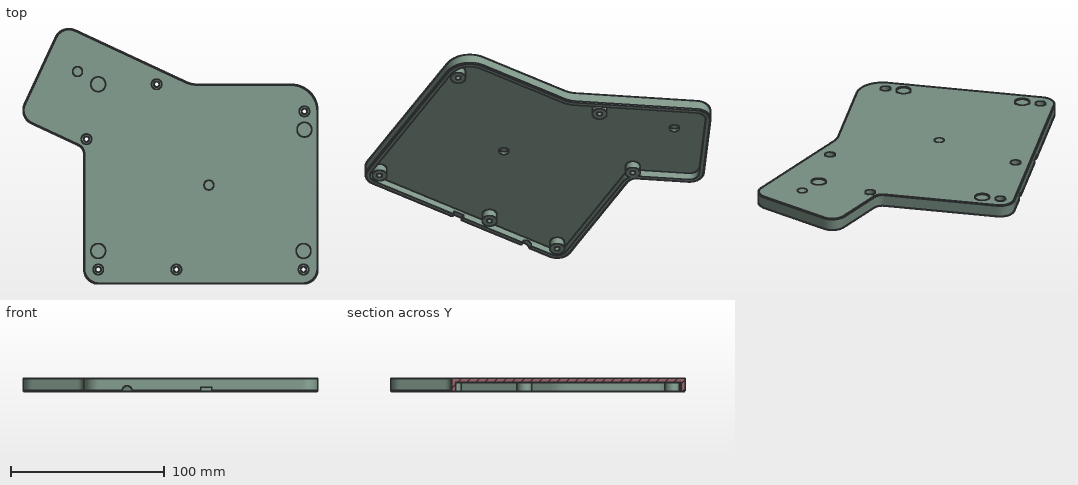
import cadquery as cq
import math

BODY_LENGTH = 152.5
BODY_WIDTH = 130.0
THICKNESS = 8.8
WING_ANGLE = math.radians(25)
WING_ROOT_X = 70.1
WING_LENGTH = 93.2
WING_WIDTH = 67.2

CORNER_RADIUS = 9.6
BACK_CORNER_RADIUS = 17.5
BACK_BEND_RADIUS = 17.5
FRONT_BEND_RADIUS = 6.3
TOP_CHAMFER = 0.5
BOTTOM_CHAMFER = 0.8

WALL = 3.0
ROOF = 3.0
CAVITY_DEPTH = THICKNESS - ROOF

EDGE_INSET = 9.5
BACK_RIGHT_X = BODY_LENGTH - 8.8

SCREW_DIAMETER = 3.5
COUNTERBORE_DIAMETER = 6.7
COUNTERBORE_DEPTH = 3.5
BOSS_DIAMETER = 9.6
SCREW_CENTERS = [
    (EDGE_INSET, EDGE_INSET),
    (60.3, EDGE_INSET),
    (BODY_LENGTH - EDGE_INSET, EDGE_INSET),
    (BACK_RIGHT_X, 112.4),
    (47.5, BODY_WIDTH),
    (1.7, 94.3),
]

FOOT_DIAMETER = 9.6
FOOT_DEPTH = 0.8
FRONT_FOOT_Y = 21.5
FOOT_CENTERS = [
    (EDGE_INSET, FRONT_FOOT_Y),
    (BODY_LENGTH - EDGE_INSET, FRONT_FOOT_Y),
    (BACK_RIGHT_X, 100.5),
    (EDGE_INSET, BODY_WIDTH),
]

POCKET_DIAMETER = 6.3
POCKET_SKIN = 0.5
POCKET_CENTERS = [(-4.0, 138.3), (81.5, 64.4)]

CABLE_X = 28.2
CABLE_DIAMETER = 6.3
CABLE_CENTER_Z = 0.5
SLOT_X = 79.7
SLOT_WIDTH = 7.1
SLOT_HEIGHT = 2.9


def outline_corners():
    """Sharp outline corners, counterclockwise, each with its rounding radius."""
    cosine = math.cos(WING_ANGLE)
    sine = math.sin(WING_ANGLE)
    back_tip_x = WING_ROOT_X - WING_LENGTH * cosine
    back_tip_y = BODY_WIDTH + WING_LENGTH * sine
    front_tip_x = back_tip_x - WING_WIDTH * sine
    front_tip_y = back_tip_y - WING_WIDTH * cosine
    front_bend_y = front_tip_y + front_tip_x * math.tan(WING_ANGLE)
    return [
        ((0, 0), CORNER_RADIUS),
        ((BODY_LENGTH, 0), CORNER_RADIUS),
        ((BODY_LENGTH, BODY_WIDTH), BACK_CORNER_RADIUS),
        ((WING_ROOT_X, BODY_WIDTH), BACK_BEND_RADIUS),
        ((back_tip_x, back_tip_y), CORNER_RADIUS),
        ((front_tip_x, front_tip_y), CORNER_RADIUS),
        ((0, front_bend_y), FRONT_BEND_RADIUS),
    ]


def rounded_plate():
    """Solid plate with every outline corner rounded."""
    corners = outline_corners()
    outline = cq.Workplane("XY").polyline([point for point, _ in corners]).close()
    plate = outline.extrude(THICKNESS)
    for (x, y), radius in corners:
        corner_edge = cq.selectors.NearestToPointSelector((x, y, THICKNESS / 2))
        plate = plate.edges("|Z").edges(corner_edge).fillet(radius)
    return plate


def cylinders(centers, diameter, bottom, top):
    """Upright cylinders of one diameter between two heights."""
    base = cq.Workplane("XY").workplane(offset=bottom)
    return base.pushPoints(centers).circle(diameter / 2).extrude(top - bottom)


def hollow(plate):
    """Space inside the walls and below the roof, less the screw bosses."""
    inner_outline = plate.faces("<Z").wires().toPending().offset2D(-WALL)
    space = inner_outline.extrude(CAVITY_DEPTH, combine=False)
    return space.cut(cylinders(SCREW_CENTERS, BOSS_DIAMETER, 0, CAVITY_DEPTH))


def front_wall_openings():
    """Round cable notch and rectangular slot, both deeper than the front wall."""
    depth = -2 * WALL
    front = cq.Workplane("XZ")
    cable = front.center(CABLE_X, CABLE_CENTER_Z).circle(CABLE_DIAMETER / 2).extrude(depth)
    slot = front.center(SLOT_X, SLOT_HEIGHT / 2).rect(SLOT_WIDTH, SLOT_HEIGHT).extrude(depth)
    return cable.union(slot)


plate = rounded_plate()
cavity = hollow(plate)
plate = plate.faces(">Z").edges().chamfer(TOP_CHAMFER)
plate = plate.faces("<Z").edges().chamfer(BOTTOM_CHAMFER)

counterbore_floor = THICKNESS - COUNTERBORE_DEPTH
result = (
    plate.cut(cavity)
    .cut(cylinders(SCREW_CENTERS, SCREW_DIAMETER, 0, THICKNESS))
    .cut(cylinders(SCREW_CENTERS, COUNTERBORE_DIAMETER, counterbore_floor, THICKNESS))
    .cut(cylinders(FOOT_CENTERS, FOOT_DIAMETER, THICKNESS - FOOT_DEPTH, THICKNESS))
    .cut(cylinders(POCKET_CENTERS, POCKET_DIAMETER, 0, THICKNESS - POCKET_SKIN))
    .cut(front_wall_openings())
)